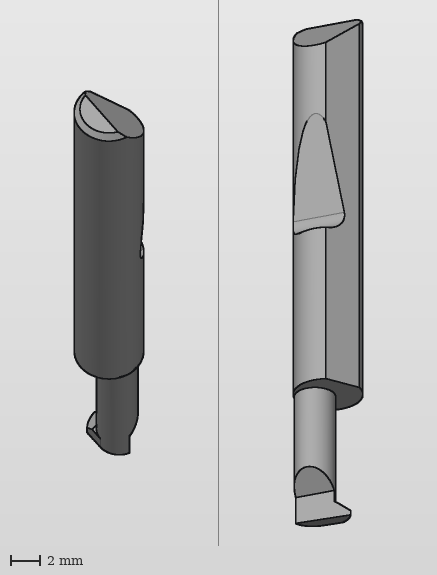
import cadquery as cq
import math


shank_radius = 4.7625 / 2
overall_length = 38.1
shank_bottom = 9.525
top_chamfer = 0.4
flat_distance = 1.98
flat_angle = 142.5
end_cut_start = 35.1

notch_radius = 1.3
notch_bottom = 21.1
notch_slope = 10.0

neck_radius = 1.42
neck_x = shank_radius - neck_radius
rake_face_top = 2.1

head_height = 1.37
tip_x = -1.68
tip_height = 0.33
heel_x = -0.6
relief_bulge = 0.13
tip_rounding = 0.08
head_slope = 0.8
head_top_drop = 0.22
bottom_rise_x = math.tan(math.radians(1.9))
bottom_rise_front = math.tan(math.radians(10.5))

reach = 40.0


def block_beyond(origin, normal):
    """Large block filling the side of a plane that its normal points to."""
    tilted = cq.Workplane(cq.Plane(origin=origin, normal=normal))
    return tilted.rect(2 * reach, 2 * reach).extrude(reach)


def side_cutter(points):
    """Prism along X from a (Y, Z) polygon."""
    return cq.Workplane("YZ").polyline(points).close().extrude(reach, both=True)


def notch_cutter():
    slope = math.radians(notch_slope)
    center_z = notch_bottom + notch_radius
    tangent_y = shank_radius - notch_radius * math.cos(slope)
    tangent_z = center_z + notch_radius * math.sin(slope)
    run_out_z = tangent_z + (shank_radius - tangent_y) / math.tan(slope)
    return (
        cq.Workplane("YZ")
        .moveTo(shank_radius, notch_bottom)
        .threePointArc((shank_radius - notch_radius, center_z), (tangent_y, tangent_z))
        .lineTo(shank_radius, run_out_z)
        .close()
        .extrude(reach, both=True)
    )


def make_shank():
    shank = (
        cq.Workplane("XY", origin=(0, 0, shank_bottom))
        .circle(shank_radius)
        .extrude(overall_length - shank_bottom)
        .faces(">Z")
        .chamfer(top_chamfer)
    )
    angle = math.radians(flat_angle)
    facing = (math.cos(angle), math.sin(angle), 0)
    flat_origin = (flat_distance * facing[0], flat_distance * facing[1], 0)
    shank = shank.cut(block_beyond(flat_origin, facing))
    shank = shank.cut(block_beyond((0, shank_radius, end_cut_start), (0, 1, 1)))
    return shank.cut(notch_cutter())


def clearance_below():
    """Everything under the bottom face, which rises from the tip to the front and to +X."""
    return block_beyond((tip_x, 0, 0), (bottom_rise_x, -bottom_rise_front, -1))


def make_neck():
    neck = cq.Workplane("XY").center(neck_x, 0).circle(neck_radius).extrude(shank_bottom)
    back_relief = side_cutter([
        (0, 0),
        (0, rake_face_top),
        (reach, rake_face_top + reach),
        (reach, 0),
    ])
    return neck.cut(back_relief).cut(clearance_below())


def make_head():
    chord_x = tip_x - heel_x
    chord = math.hypot(chord_x, neck_radius)
    arc_middle = (
        (tip_x + heel_x) / 2 - relief_bulge * neck_radius / chord,
        -neck_radius / 2 + relief_bulge * chord_x / chord,
    )
    head = (
        cq.Workplane("XY")
        .moveTo(neck_x, 0)
        .lineTo(neck_x, -neck_radius)
        .lineTo(heel_x, -neck_radius)
        .threePointArc(arc_middle, (tip_x, 0))
        .close()
        .extrude(head_height)
    )
    head = head.cut(block_beyond((tip_x, 0, tip_height), (-head_slope, -head_top_drop, 1)))
    head = head.cut(clearance_below())
    relief_bottom_edge = cq.selectors.NearestToPointSelector((*arc_middle, 0))
    return head.edges(relief_bottom_edge).fillet(tip_rounding)


cutting_end = make_neck().union(make_head())
result = make_shank().union(cutting_end)